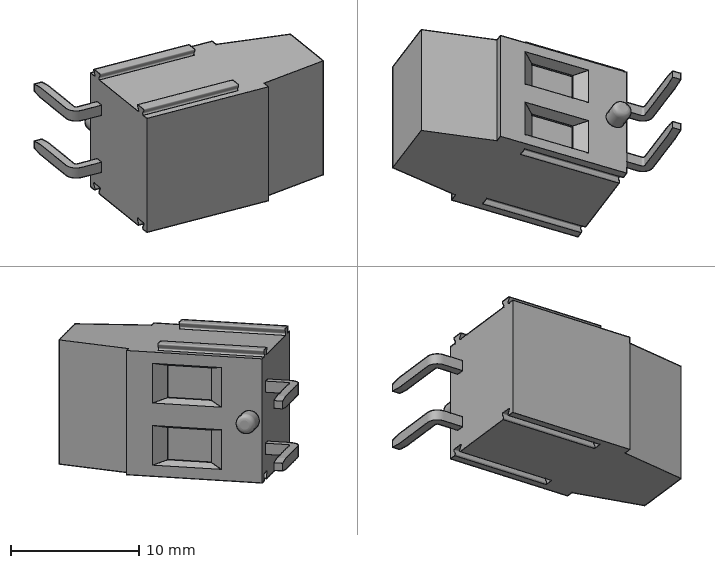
import cadquery as cq


overall_length = 19.45
body_width = 8.9
body_height = 10.0
pole_pitch = body_height / 2
pole_heights = [pole_pitch / 2, pole_pitch * 3 / 2]

pin_reach = 2.66
pin_overhang = 4.2
pin_thickness = 0.7
pin_width = 0.9
pin_right = 1.75
pin_inner_radius = 0.2
pin_tip_length = 1.0
pin_tip_width = 0.62

nose_end = overall_length - pin_reach
shoulder = 10.9
nose_root_left = 0.62
nose_root_right = 8.2
nose_end_left = 1.96
nose_end_right = 7.18

rail_centers = [1.01, 7.92]
rail_length = 8.5
rail_height = 0.56
rail_width = 1.01
rail_foot_width = 0.78
rail_waist_width = 0.58
rail_waist_height = 0.12
rail_waist_radius = 0.08
rail_lip_height = 0.12
rail_corner_radius = 0.08
groove_depth = 0.6

entry_start = 3.29
entry_end = 8.8
entry_height = 3.19
entry_margin_y = 1.0
entry_margin_z = 0.3
entry_taper_depth = 0.8
entry_step_depth = 0.15

peg_diameter = 1.55
peg_length = 1.6
peg_round = 0.4
peg_y = 1.01


def housing():
    outline = [
        (0, 0),
        (body_width, 0),
        (body_width, shoulder),
        (nose_root_right, shoulder),
        (nose_end_right, nose_end),
        (nose_end_left, nose_end),
        (nose_root_left, shoulder),
        (0, shoulder),
    ]
    return cq.Workplane("XY").polyline(outline).close().extrude(body_height)


def dovetail(center_x, base_z, height):
    """Waisted dovetail bar standing on the plane z = base_z, running along Y from the solder side."""
    half_foot = rail_foot_width / 2
    half_waist = rail_waist_width / 2
    half_top = rail_width / 2
    lip_bottom = height - rail_lip_height
    outline = [
        (-half_foot, 0),
        (half_foot, 0),
        (half_waist, rail_waist_height),
        (half_top, lip_bottom),
        (half_top, height),
        (-half_top, height),
        (-half_top, lip_bottom),
        (-half_waist, rail_waist_height),
    ]
    bar = cq.Workplane("XZ").polyline(outline).close().extrude(-rail_length)

    lip_zone = cq.selectors.BoxSelector(
        (-rail_width, 0, lip_bottom - rail_corner_radius),
        (rail_width, rail_length, height + rail_corner_radius),
    )
    bar = bar.edges("|Y").edges(lip_zone).fillet(rail_corner_radius)
    waist_zone = cq.selectors.BoxSelector(
        (-rail_width, 0, rail_waist_height / 2),
        (rail_width, rail_length, rail_waist_height * 3 / 2),
    )
    bar = bar.edges("|Y").edges(waist_zone).fillet(rail_waist_radius)
    return bar.translate((center_x, 0, base_z))


def wire_entry(center_z):
    """Rectangular funnel followed by a short straight-walled step."""
    center_y = (entry_start + entry_end) / 2
    mouth_length = entry_end - entry_start
    floor_length = mouth_length - 2 * entry_margin_y
    floor_height = entry_height - 2 * entry_margin_z
    funnel = (
        cq.Workplane("YZ", origin=(0, center_y, center_z))
        .rect(mouth_length, entry_height)
        .workplane(offset=entry_taper_depth)
        .rect(floor_length, floor_height)
        .loft(ruled=True)
    )
    step = (
        cq.Workplane("YZ", origin=(entry_taper_depth, center_y, center_z))
        .rect(floor_length, floor_height)
        .extrude(entry_step_depth)
    )
    return funnel.union(step)


def locating_peg():
    peg = (
        cq.Workplane("YZ", origin=(0, peg_y, body_height / 2))
        .circle(peg_diameter / 2)
        .extrude(-peg_length)
    )
    return peg.faces("<X").edges().fillet(peg_round)


def solder_pin(center_z):
    """Pin leaving the solder side, bent toward -X, with a tip narrowed in Z."""
    pin_left = pin_right - pin_thickness
    leg_top = pin_thickness - pin_reach
    bent_strip = [
        (pin_left, 0),
        (pin_right, 0),
        (pin_right, -pin_reach),
        (-pin_overhang, -pin_reach),
        (-pin_overhang, leg_top),
        (pin_left, leg_top),
    ]
    strip = (
        cq.Workplane("XY", origin=(0, 0, -pin_width / 2))
        .polyline(bent_strip)
        .close()
        .extrude(pin_width)
    )
    inner_corner = cq.selectors.NearestToPointSelector((pin_left, leg_top, 0))
    strip = strip.edges("|Z").edges(inner_corner).fillet(pin_inner_radius)
    outer_corner = cq.selectors.NearestToPointSelector((pin_right, -pin_reach, 0))
    strip = strip.edges("|Z").edges(outer_corner).fillet(pin_inner_radius + pin_thickness)

    tip_root = pin_tip_length - pin_overhang
    silhouette = [
        (-pin_overhang, -pin_tip_width / 2),
        (tip_root, -pin_width / 2),
        (pin_right, -pin_width / 2),
        (pin_right, pin_width / 2),
        (tip_root, pin_width / 2),
        (-pin_overhang, pin_tip_width / 2),
    ]
    side_limits = cq.Workplane("XZ").polyline(silhouette).close().extrude(pin_reach)
    strip = strip.intersect(side_limits)
    return strip.translate((0, 0, center_z))


result = housing()

for rail_x in rail_centers:
    result = result.union(dovetail(rail_x, body_height, rail_height))
    result = result.cut(dovetail(rail_x, 0, groove_depth))

for pole_z in pole_heights:
    result = result.cut(wire_entry(pole_z))
    result = result.union(solder_pin(pole_z))

result = result.union(locating_peg())